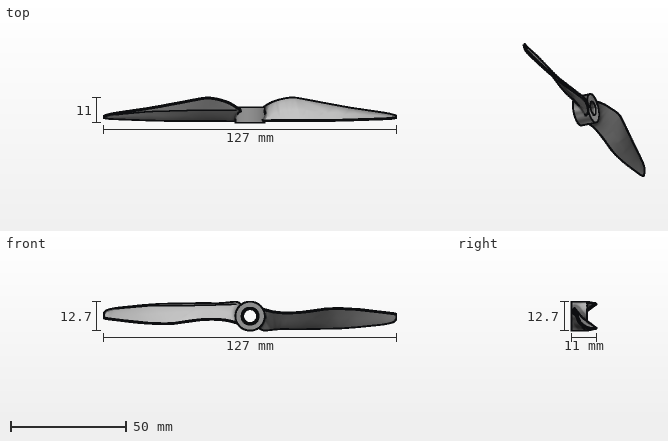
import cadquery as cq
import math

HUB_DIAMETER = 12.7
HUB_LENGTH = 6.9
BORE_DIAMETER = 6.0
COUNTERBORE_DIAMETER = 7.5
COUNTERBORE_DEPTH = 3.4

EDGE_WIDTH = 0.57
BLADE_TIP = 63.5

ROOT_FILLET = 0.5
LONGEST_THIN_EDGE = 1.3
TOLERANCE = 0.001

BLADE_STATIONS = [
    (3.7, 0.6, -3.5, 5.6, 4.7),
    (5.3, 0.6, -3.3, 6.6, 6.1),
    (7.6, 0.6, -2.7, 8.1, 6.2),
    (12.7, 0.8, -1.8, 10.2, 5.7),
    (17.8, 0.8, -1.7, 11.0, 5.7),
    (25.4, 0.8, -2.3, 10.0, 5.7),
    (33.0, 0.8, -3.4, 8.6, 5.6),
    (40.6, 0.9, -3.5, 7.1, 5.3),
    (48.3, 1.1, -3.0, 6.0, 4.7),
    (55.9, 1.4, -2.2, 4.8, 4.0),
    (61.0, 1.7, -1.5, 4.0, 3.0),
    (62.7, 1.9, -1.3, 3.4, 2.3),
    (BLADE_TIP, 2.0, -1.0, 3.0, 1.3),
]

RIDGE_POINTS = [
    (3.8, 3.5),
    (5.2, 5.0),
    (5.6, 5.1),
    (5.6, 4.8),
    (5.6, 4.7),
    (5.5, 4.6),
    (5.3, 4.6),
    (5.1, 4.6),
    (4.6, 4.2),
    (3.8, 3.4),
    (3.0, 2.5),
    (2.7, 1.7),
    (2.3, 0.6),
]


def make_hub():
    """Plain cylinder with its front face on y = 0 and its seam turned clear of the blades."""
    hub = cq.Workplane("XZ").circle(HUB_DIAMETER / 2).extrude(-HUB_LENGTH)
    return hub.rotate((0, 0, 0), (0, 1, 0), 90)


def make_bore():
    """Through bore with a wider counterbore opening at the front face."""
    bore = cq.Workplane("XZ").circle(BORE_DIAMETER / 2).extrude(-HUB_LENGTH)
    counterbore = cq.Workplane("XZ").circle(COUNTERBORE_DIAMETER / 2).extrude(-COUNTERBORE_DEPTH)
    return bore.union(counterbore)


def blade_corners(station, ridge_points):
    """Corner points of one section across a blade on the -X side, in order around it."""
    distance, lead_y, lead_z, trail_y, trail_z = station
    leading_front = (lead_y, lead_z + EDGE_WIDTH)
    leading_back = (lead_y + EDGE_WIDTH, lead_z)
    trailing_front = (trail_y - EDGE_WIDTH, trail_z)
    trailing_back = (trail_y, trail_z - EDGE_WIDTH)
    corners = [leading_front, *ridge_points, trailing_front, trailing_back, leading_back]
    return [cq.Vector(-distance, y, z) for y, z in corners]


def make_blade(sections):
    """Solid skinned with straight rules between smooth rails, each rail joining like corners."""
    rails = [cq.Edge.makeSpline(list(corners)) for corners in zip(*sections)]
    neighbours = rails[1:] + rails[:1]
    skin = [cq.Face.makeRuledSurface(rail, other) for rail, other in zip(rails, neighbours)]
    for end in (sections[0], sections[-1]):
        skin.append(cq.Face.makeFromWires(cq.Wire.makePolygon(end, close=True)))
    return cq.Workplane(cq.Solid.makeSolid(cq.Shell.makeShell(skin)))


def is_root_edge(edge):
    """True where the front or back face of a blade, not its thin edge, meets the side of the hub."""
    middle = edge.positionAt(0.5)
    on_side = abs(math.hypot(middle.x, middle.z) - HUB_DIAMETER / 2) < TOLERANCE
    is_curved_join = edge.geomType() == "BSPLINE"
    return on_side and is_curved_join and edge.Length() > LONGEST_THIN_EDGE


plain_sections = [blade_corners(station, []) for station in BLADE_STATIONS]
ridged_sections = [blade_corners(station, [ridge]) for station, ridge in zip(BLADE_STATIONS, RIDGE_POINTS)]
left_blade = make_blade(ridged_sections)
right_blade = make_blade(plain_sections).rotate((0, 0, 0), (0, 1, 0), 180)

propeller = make_hub().union(left_blade).union(right_blade)
root_edges = [edge for edge in propeller.edges().vals() if is_root_edge(edge)]
filleted = propeller.newObject(root_edges).fillet(ROOT_FILLET)
result = filleted.cut(make_bore())